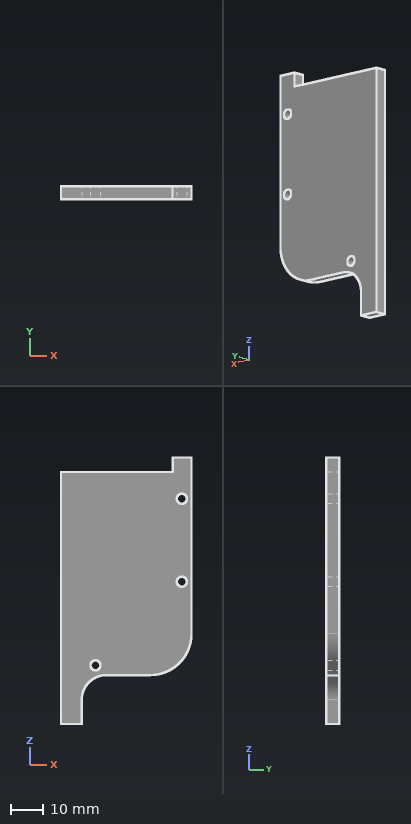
import cadquery as cq

width = 40.5
thickness = 4.0
height = 82.4

tab_width = 5.9
tab_height = 4.45
leg_width = 6.5
leg_height = 15.1
inner_radius = 7.5
outer_radius = 12.9

hole_diameter = 3.05
edge_hole_inset = 3.05
edge_hole_heights = (44.0, 69.7)
lower_hole_x = 10.7

shoulder_z = height - tab_height
tab_x = width - tab_width
hole_centers = [(width - edge_hole_inset, z) for z in edge_hole_heights]
hole_centers.append((lower_hole_x, leg_height + edge_hole_inset))


def make_plate():
    """Plate with a top tab and a lower leg, lying in the XZ plane."""
    outline = [
        (0, 0),
        (leg_width, 0),
        (leg_width, leg_height),
        (width, leg_height),
        (width, height),
        (tab_x, height),
        (tab_x, shoulder_z),
        (0, shoulder_z),
    ]
    return cq.Workplane("XZ").polyline(outline).close().extrude(-thickness)


def round_corner(plate, x, radius):
    """Round the through-thickness edge at height leg_height and the given x."""
    corner = cq.selectors.NearestToPointSelector((x, thickness / 2, leg_height))
    return plate.edges("|Y").edges(corner).fillet(radius)


def make_holes():
    """Cylinders that pass through the full thickness."""
    return cq.Workplane("XZ").pushPoints(hole_centers).circle(hole_diameter / 2).extrude(-thickness)


plate = make_plate()
plate = round_corner(plate, leg_width, inner_radius)
plate = round_corner(plate, width, outer_radius)
result = plate.cut(make_holes())